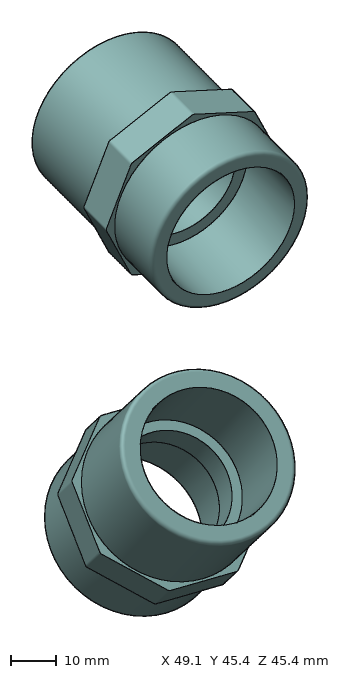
import cadquery as cq
import math

length = 49.1
body_diameter = 41.0
end_rounding = 1.0

collar_start = 25.0
collar_width = 9.0
collar_span = 45.35
corner_rounding = 1.0
collar_sides = 8

passage_diameter = 27.2
left_socket_diameter = 32.0
left_socket_depth = 22.0
right_socket_diameter = 33.4
right_socket_depth = 19.1

left_end = -length / 2
right_end = length / 2


def cylinder_along_x(start, diameter, depth):
    return cq.Workplane("YZ", origin=(start, 0, 0)).circle(diameter / 2).extrude(depth)


def make_body():
    body = cylinder_along_x(left_end, body_diameter, length)
    return body.faces("<X or >X").edges().fillet(end_rounding)


def make_collar():
    half_side_angle = math.pi / collar_sides
    corner_loss = corner_rounding * (1 / math.cos(half_side_angle) - 1)
    sharp_span = collar_span + 2 * corner_loss
    collar = (
        cq.Workplane("YZ", origin=(left_end + collar_start, 0, 0))
        .polygon(collar_sides, sharp_span)
        .extrude(collar_width)
    )
    return collar.edges("|X").fillet(corner_rounding)


def make_bore():
    passage = cylinder_along_x(left_end, passage_diameter, length)
    left_socket = cylinder_along_x(left_end, left_socket_diameter, left_socket_depth)
    right_socket = cylinder_along_x(right_end, right_socket_diameter, -right_socket_depth)
    return passage.union(left_socket).union(right_socket)


result = make_body().union(make_collar()).cut(make_bore())